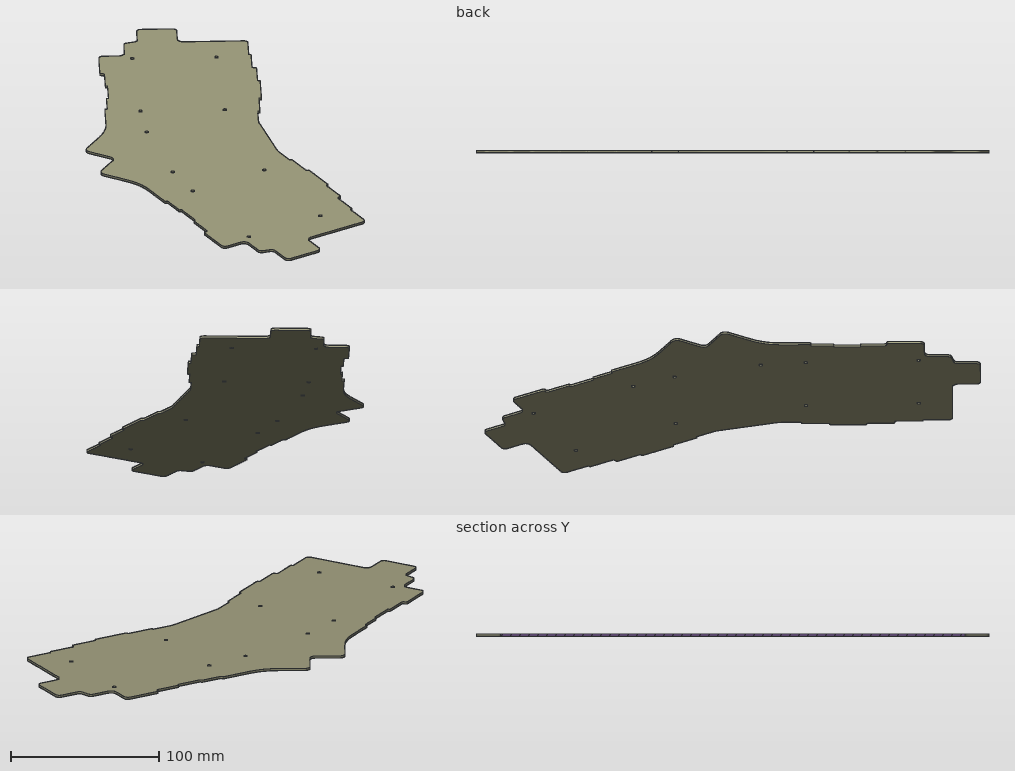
import cadquery as cq
import math

THICKNESS = 1.6
LENGTH_Y = 149.86
SPLAY_ANGLE = math.radians(15.0)
KEY_PITCH = 19.0
CORNER_RADIUS = 3.0
INSIDE_CORNER_RADIUS = 4.0
STEP_ROUNDING = 0.45

COLUMN_TOPS = [37.74, 39.3, 42.35, 44.1, 42.4, 40.9]
COLUMN_LEFT = -151.25
FIRST_BOUNDARY = -128.2
COLUMN_MARGIN = 3.0

LOWER_LEFT = -132.35
LOWER_LEVELS = [-63.8, -60.75, -59.25, -60.65, -62.3]
LOWER_STEPS = [-106.95, -89.3, -71.15, -55.7]

TAB_LEFT = -170.21
TAB_TOP = -9.7
TAB_BOTTOM = -36.9
SHOULDER_BOTTOM = -46.25
SHOULDER_X = -157.05

MIDDLE_TOP_Y = 48.25
MIDDLE_TOP_RADIUS = 15.0
POINT_X = 16.9
POINT_RADIUS = 4.0
POINT_BLEND_RADIUS = 38.0

HOLE_DIAMETER = 2.3
OUTER_HOLES_ACROSS = -128.45
INNER_HOLES_ACROSS = -52.25
HOLE_PAIR_SPACING = 3 * KEY_PITCH
OUTER_HOLES_TOP = 15.75
INNER_HOLES_TOP = 18.7
MIDDLE_HOLE = (-30.15, -28.35)

COS = math.cos(SPLAY_ANGLE)
SIN = math.sin(SPLAY_ANGLE)


def splayed(across, along):
    """Plate (X, Y) of a point given in the tilted frame of the left half."""
    return (across * COS + along * SIN, along * COS - across * SIN)


def step(across, level_before, level_after):
    """Both corners of a step between two levels, rounded as far as its height allows."""
    radius = min(CORNER_RADIUS, STEP_ROUNDING * abs(level_after - level_before))
    return [
        (splayed(across, level_before), radius),
        (splayed(across, level_after), radius),
    ]


def lower_edge_corners():
    """Corners from the notch on the middle line outwards to the lower outer corner."""
    point_y = -LENGTH_Y / 2 - POINT_RADIUS * (math.sqrt(2) - 1)
    blend_x = -(LOWER_LEVELS[-1] - COS * (point_y - POINT_X)) / (COS - SIN)
    blend_y = point_y - POINT_X - blend_x
    corners = [
        ((-POINT_X, point_y), POINT_RADIUS),
        ((blend_x, blend_y), POINT_BLEND_RADIUS),
    ]
    inward = zip(LOWER_STEPS, LOWER_LEVELS, LOWER_LEVELS[1:])
    for across, outer_level, inner_level in reversed(list(inward)):
        corners += step(across, inner_level, outer_level)
    corners.append((splayed(LOWER_LEFT, LOWER_LEVELS[0]), CORNER_RADIUS))
    return corners


def side_corners():
    """Corners up the outer side: the shoulder and the tab."""
    shoulder = [
        ((SHOULDER_X, (along - SHOULDER_X * SIN) / COS), CORNER_RADIUS)
        for along in (SHOULDER_BOTTOM, TAB_BOTTOM)
    ]
    tab = [
        (splayed(TAB_LEFT, TAB_BOTTOM), CORNER_RADIUS),
        (splayed(TAB_LEFT, TAB_TOP), CORNER_RADIUS),
        (splayed(COLUMN_LEFT, TAB_TOP), INSIDE_CORNER_RADIUS),
    ]
    return [(splayed(LOWER_LEFT, SHOULDER_BOTTOM), INSIDE_CORNER_RADIUS)] + shoulder + tab


def upper_edge_corners():
    """Corners from the upper outer corner inwards to the straight edge in the middle."""
    corners = [(splayed(COLUMN_LEFT, COLUMN_TOPS[0]), CORNER_RADIUS)]
    for i in range(len(COLUMN_TOPS) - 1):
        outer_top, inner_top = COLUMN_TOPS[i], COLUMN_TOPS[i + 1]
        margin = -COLUMN_MARGIN if inner_top > outer_top else COLUMN_MARGIN
        corners += step(FIRST_BOUNDARY + i * KEY_PITCH + margin, outer_top, inner_top)
    middle_top_x = (COLUMN_TOPS[-1] - MIDDLE_TOP_Y * COS) / SIN
    corners.append(((middle_top_x, MIDDLE_TOP_Y), MIDDLE_TOP_RADIUS))
    return corners


def plate_corners():
    """All corners with their radii, clockwise from the notch on the middle line."""
    left = lower_edge_corners() + side_corners() + upper_edge_corners()
    right = [((-x, y), radius) for (x, y), radius in reversed(left)]
    (point_x, point_y), _ = left[0]
    notch = ((0.0, point_y - point_x), POINT_RADIUS)
    return [notch] + left + right


def rounded_corner(before, corner, after, radius):
    """Start, middle and end of the arc that rounds a corner between two straight edges."""
    corner = cq.Vector(*corner)
    back = (cq.Vector(*before) - corner).normalized()
    ahead = (cq.Vector(*after) - corner).normalized()
    half_angle = back.getAngle(ahead) / 2
    setback = radius / math.tan(half_angle)
    overshoot = radius / math.sin(half_angle) - radius
    middle = corner + (back + ahead).normalized() * overshoot
    return corner + back * setback, middle, corner + ahead * setback


def rounded_outline(corners):
    """Closed outline of straight edges joined by an arc at every corner."""
    arcs = []
    for i, (corner, radius) in enumerate(corners):
        before = corners[i - 1][0]
        after = corners[(i + 1) % len(corners)][0]
        arcs.append(rounded_corner(before, corner, after, radius))
    last_end = arcs[-1][2]
    outline = cq.Workplane("XY").moveTo(last_end.x, last_end.y)
    for start, middle, end in arcs:
        outline = outline.lineTo(start.x, start.y)
        outline = outline.threePointArc((middle.x, middle.y), (end.x, end.y))
    return outline.close()


def hole_centres():
    """Centres of the screw holes in both halves."""
    left = [MIDDLE_HOLE]
    for across, top in (
        (OUTER_HOLES_ACROSS, OUTER_HOLES_TOP),
        (INNER_HOLES_ACROSS, INNER_HOLES_TOP),
    ):
        left += [splayed(across, top), splayed(across, top - HOLE_PAIR_SPACING)]
    return left + [(-x, y) for x, y in left]


plate = rounded_outline(plate_corners()).extrude(THICKNESS)
top_face = plate.faces(">Z").workplane(origin=(0, 0, THICKNESS))
result = top_face.pushPoints(hole_centres()).hole(HOLE_DIAMETER)